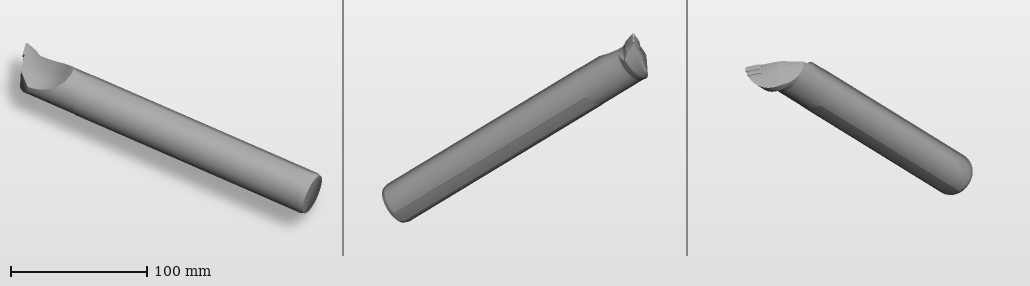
import cadquery as cq
import math

overall_length = 249.5
shank_radius = 16.0
neck_radius = 15.7
flat_height = 15.0
neck_end = 59.5
chamfer_length = 3.0
chamfer_depth = 1.0

head_radius = 18.5
head_offset = 2.5
head_end = 14.0
neck_start = 20.0

rake_angle = 5.0
rake_height = 2.0
scoop_start = 20.0
scoop_radius = 35.0
scoop_axis = -10.0

tip_x = -0.37
tip_y = 22.2
insert_length = 11.5
insert_angle = 55.0
edge_angle = -19.0
insert_thickness = 3.7
nose_radius = 0.7
seat_inset = 0.7
seat_thickness = 3.2

face_outer = (1.5, 20.0)
face_inner = (8.5, -2.2)
trailing_inner = (9.5, -4.2)
trailing_outer = (21.0, -15.5)
relief_foot = (15.0, neck_radius)
relief_top = (10.7, 18.0)

clearance = 50.0


def tilt(shape):
    """Move a shape from the rake plane's frame to its place on the bar."""
    return shape.rotate((0, 0, 0), (1, 0, 0), -rake_angle).translate((0, 0, rake_height))


def bar(start, end, radius, offset=0.0):
    return cq.Workplane("YZ", origin=(start, offset, 0)).circle(radius).extrude(end - start)


def below(height):
    """Block filling the space beneath a level."""
    return (
        cq.Workplane("XY", origin=(0, 0, height))
        .rect(3 * overall_length, 2 * clearance)
        .extrude(-2 * clearance)
    )


def shank():
    rod = bar(neck_end, overall_length, shank_radius)
    chamfered = rod.faces(">X").edges().chamfer(chamfer_length, chamfer_depth)
    return chamfered.intersect(below(flat_height)).cut(below(-flat_height))


def neck():
    return bar(neck_start, neck_end, neck_radius).intersect(below(flat_height))


def head():
    taper = (
        cq.Workplane("YZ", origin=(head_end, 0, 0))
        .center(head_offset, 0)
        .circle(head_radius)
        .workplane(offset=neck_start - head_end)
        .center(-head_offset, 0)
        .circle(neck_radius)
        .loft(ruled=True)
    )
    return bar(0, head_end, head_radius, head_offset).union(taper)


def end_faces():
    """Everything behind the angled end faces and the relief on the +Y side."""
    outline = (
        cq.Workplane("XY", origin=(0, 0, -clearance))
        .moveTo(*face_outer)
        .lineTo(*face_inner)
        .lineTo(*trailing_inner)
        .lineTo(*trailing_outer)
        .lineTo(neck_start, -clearance)
        .lineTo(overall_length + clearance, -clearance)
        .lineTo(overall_length + clearance, clearance)
        .lineTo(neck_start, clearance)
        .lineTo(neck_start, neck_radius)
        .lineTo(*relief_foot)
        .lineTo(*relief_top)
        .close()
    )
    return tilt(outline.extrude(2 * clearance))


def chip_scoop():
    """Space above the rake plane, ending in a concave run-out."""
    middle_angle = math.radians(45)
    arc_middle = (
        scoop_start + scoop_radius * math.sin(middle_angle),
        scoop_radius * (1 - math.cos(middle_angle)),
    )
    profile = (
        cq.Workplane("XZ")
        .moveTo(scoop_axis, 0)
        .lineTo(scoop_start, 0)
        .threePointArc(arc_middle, (scoop_start + scoop_radius, scoop_radius))
        .lineTo(scoop_axis, scoop_radius)
        .close()
    )
    return tilt(profile.revolve(360, (scoop_axis, 0, 0), (scoop_axis, 1, 0)))


def rhombic_plate(inset, top, thickness):
    """Plate in the rake frame; inset draws its two outer edges towards the inner corner."""
    along = math.radians(edge_angle)
    across = math.radians(edge_angle - insert_angle)

    def corner(u, v):
        x = u * math.cos(along) + v * math.cos(across)
        y = tip_y + u * math.sin(along) + v * math.sin(across)
        return (x + tip_x, y)

    far = insert_length
    outline = [corner(inset, inset), corner(far, inset), corner(far, far), corner(inset, far)]
    plate = cq.Workplane("XY", origin=(0, 0, top)).polyline(outline).close().extrude(-thickness)
    nose = cq.selectors.NearestToPointSelector((*outline[0], top - thickness / 2))
    return tilt(plate.edges(nose).fillet(nose_radius))


def insert():
    return rhombic_plate(0, 0, insert_thickness)


def seat():
    return rhombic_plate(seat_inset, -insert_thickness, seat_thickness)


def holder():
    body = shank().union(neck()).union(head())
    body = body.intersect(end_faces()).cut(chip_scoop())
    return body.union(seat()).cut(insert())


result = cq.Compound.makeCompound([holder().val(), insert().val()])